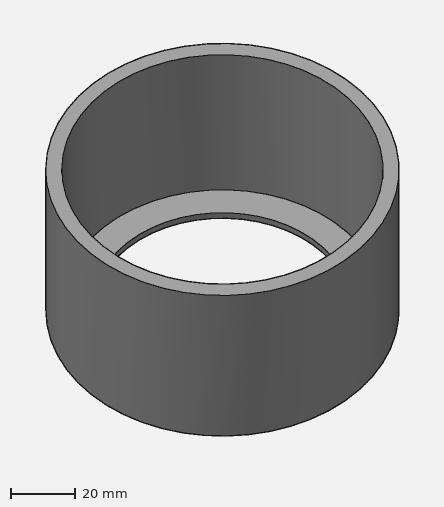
import cadquery as cq

outer_diameter = 110.0
wall_thickness = 5.0
height = 62.5
floor_thickness = 2.5
floor_opening_diameter = 80.0

bore_diameter = outer_diameter - 2 * wall_thickness


def make_cup():
    """Round cup, open at the top, standing on Z = 0."""
    body = cq.Workplane("XY").circle(outer_diameter / 2).extrude(height)
    bore = (
        cq.Workplane("XY")
        .workplane(offset=floor_thickness)
        .circle(bore_diameter / 2)
        .extrude(height - floor_thickness)
    )
    return body.cut(bore)


def make_floor_opening():
    """Cylinder that opens the floor, leaving an inner ledge."""
    return cq.Workplane("XY").circle(floor_opening_diameter / 2).extrude(floor_thickness)


result = make_cup().cut(make_floor_opening())